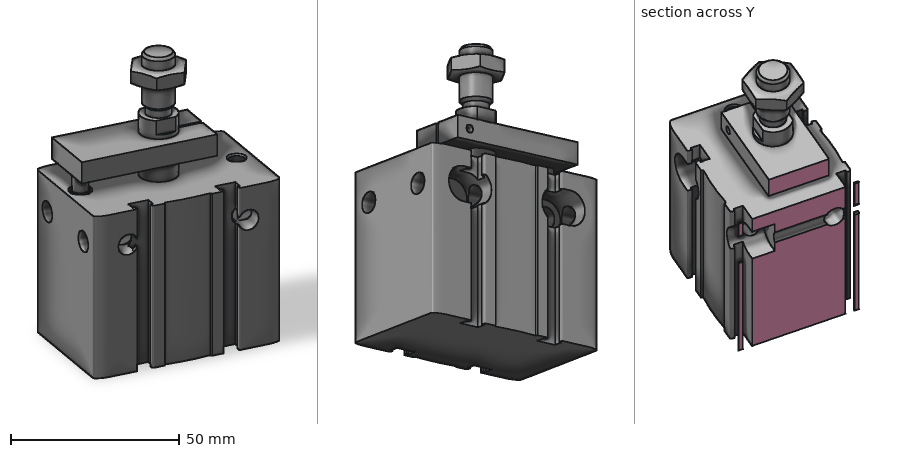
import cadquery as cq
import math

HOUSING_WIDTH = 40.0
HOUSING_LENGTH = 62.0
HOUSING_HEIGHT = 53.0
HALF_WIDTH = HOUSING_WIDTH / 2
HALF_LENGTH = HOUSING_LENGTH / 2

BEND_START_Y = 26.5
BEND_RADIUS = 10.0
BEND_END_Y = 30.2
CORNER_INSET = 1.8
CORNER_RADIUS = 1.2

SLOT_CENTRE_Y = 14.45
SLOT_MOUTH_WIDTH = 5.0
SLOT_WIDTH = 6.6
SLOT_DEPTH = 4.5
LIP_THICKNESS = 1.5
INNER_LIP_ROUND = 0.6
OUTER_LIP_ROUND = 0.35

RECESS_HALF_LENGTH = 7.9
RECESS_SLOPE = 0.4
RECESS_FLOOR_HALF_LENGTH = 7.0
RECESS_DEPTH = 0.6
RECESS_BULGE = 0.35

MOUNT_HOLE_DIAMETER = 6.6
MOUNT_HOLE_Z = HOUSING_HEIGHT - 11.0
END_HOLE_X = 12.0
SIDE_HOLE_Y = 20.0
COUNTERBORE_DIAMETER = 11.0
COUNTERBORE_INNER_Y = 15.0
COUNTERBORE_DEPTH = 12.0

PORT_Y = 26.0
PORT_DIAMETER = 4.92
PORT_CHAMFER_DIAMETER = 6.0
PORT_DEPTH = 10.0
DRILL_POINT_ANGLE = 118.0

PIN_Y = -26.0
PIN_DIAMETER = 5.0
BUSH_DIAMETER = 6.0
BUSH_SEAT_CHAMFER_DIAMETER = 7.2
BUSH_LENGTH = 10.0

PLATE_WIDTH = 20.0
PLATE_LENGTH = 45.0
PLATE_THICKNESS = 7.0
PLATE_BACK_Y = 14.5
PLATE_BOTTOM_Z = HOUSING_HEIGHT + 7.0
PLATE_TOP_Z = PLATE_BOTTOM_Z + PLATE_THICKNESS
CLAMP_SLIT_WIDTH = 1.0
CLAMP_HOLE_DIAMETER = 2.46
CLAMP_HOLE_Y = 10.0

ROD_DIAMETER = 12.0
ROD_INSERTION = 10.0
COLLAR_TOP_Z = PLATE_TOP_Z + 6.0
FLAT_WIDTH = 10.0
FLAT_HEIGHT = 4.6
NECK_DIAMETER = 8.0
NECK_LENGTH = 2.4
THREAD_DIAMETER = 10.0
THREAD_TIP_DIAMETER = 8.57
THREAD_TIP_LENGTH = 1.0
ROD_TOP_Z = 93.0

NUT_SIDES = 6
NUT_WIDTH = 16.0
NUT_THICKNESS = 5.0
NUT_TOP_Z = 88.9
NUT_FACE_DIAMETER = 14.4
NUT_CORNER_DROP = 0.6


def cylinder(diameter, bottom_z, top_z, y=0.0):
    """Upright cylinder on the plane X = 0."""
    return cq.Workplane("XY", origin=(0, y, bottom_z)).circle(diameter / 2).extrude(top_z - bottom_z)


def housing_block():
    bend_drop = BEND_RADIUS - math.sqrt(BEND_RADIUS**2 - (BEND_END_Y - BEND_START_Y) ** 2)
    bend_x = HALF_WIDTH - bend_drop
    end_x = HALF_WIDTH - CORNER_INSET
    return (
        cq.Workplane("XY")
        .moveTo(-end_x, -HALF_LENGTH)
        .lineTo(end_x, -HALF_LENGTH)
        .radiusArc((bend_x, -BEND_END_Y), -CORNER_RADIUS)
        .radiusArc((HALF_WIDTH, -BEND_START_Y), -BEND_RADIUS)
        .lineTo(HALF_WIDTH, BEND_START_Y)
        .radiusArc((bend_x, BEND_END_Y), -BEND_RADIUS)
        .radiusArc((end_x, HALF_LENGTH), -CORNER_RADIUS)
        .lineTo(-end_x, HALF_LENGTH)
        .radiusArc((-bend_x, BEND_END_Y), -CORNER_RADIUS)
        .radiusArc((-HALF_WIDTH, BEND_START_Y), -BEND_RADIUS)
        .lineTo(-HALF_WIDTH, -BEND_START_Y)
        .radiusArc((-bend_x, -BEND_END_Y), -BEND_RADIUS)
        .radiusArc((-end_x, -HALF_LENGTH), -CORNER_RADIUS)
        .close()
        .extrude(HOUSING_HEIGHT)
    )


def t_slot():
    """T-slot cutter for the -X side at +Y, with flared mouth edges that round the lips."""
    face_x = -HALF_WIDTH
    lip_x = face_x + LIP_THICKNESS
    floor_x = face_x + SLOT_DEPTH
    mouth_in = SLOT_CENTRE_Y - SLOT_MOUTH_WIDTH / 2
    mouth_out = SLOT_CENTRE_Y + SLOT_MOUTH_WIDTH / 2
    wide_in = SLOT_CENTRE_Y - SLOT_WIDTH / 2
    wide_out = SLOT_CENTRE_Y + SLOT_WIDTH / 2
    return (
        cq.Workplane("XY")
        .moveTo(face_x, mouth_in - INNER_LIP_ROUND)
        .radiusArc((face_x + INNER_LIP_ROUND, mouth_in), INNER_LIP_ROUND)
        .lineTo(lip_x, mouth_in)
        .lineTo(lip_x, wide_in)
        .lineTo(floor_x, wide_in)
        .lineTo(floor_x, wide_out)
        .lineTo(lip_x, wide_out)
        .lineTo(lip_x, mouth_out)
        .lineTo(face_x + OUTER_LIP_ROUND, mouth_out)
        .radiusArc((face_x, mouth_out + OUTER_LIP_ROUND), OUTER_LIP_ROUND)
        .close()
        .extrude(HOUSING_HEIGHT)
    )


def side_recess():
    """Cutter for the shallow recess in the middle of the -X side."""
    floor_x = -HALF_WIDTH + RECESS_DEPTH
    step_y = RECESS_HALF_LENGTH - RECESS_SLOPE
    return (
        cq.Workplane("XY")
        .moveTo(-HALF_WIDTH, -RECESS_HALF_LENGTH)
        .lineTo(floor_x, -step_y)
        .lineTo(floor_x, -RECESS_FLOOR_HALF_LENGTH)
        .threePointArc((floor_x - RECESS_BULGE, 0), (floor_x, RECESS_FLOOR_HALF_LENGTH))
        .lineTo(floor_x, step_y)
        .lineTo(-HALF_WIDTH, RECESS_HALF_LENGTH)
        .close()
        .extrude(HOUSING_HEIGHT)
    )


def end_holes():
    """Two plain holes through the housing along Y."""
    return (
        cq.Workplane("XZ", origin=(0, HALF_LENGTH, MOUNT_HOLE_Z))
        .pushPoints([(-END_HOLE_X, 0), (END_HOLE_X, 0)])
        .circle(MOUNT_HOLE_DIAMETER / 2)
        .extrude(HOUSING_LENGTH)
    )


def side_holes():
    """Two holes through the housing along X, each with an oblong counterbore in the -X side."""
    plane = cq.Workplane("YZ", origin=(-HALF_WIDTH, 0, MOUNT_HOLE_Z))
    holes = (
        plane.pushPoints([(-SIDE_HOLE_Y, 0), (SIDE_HOLE_Y, 0)])
        .circle(MOUNT_HOLE_DIAMETER / 2)
        .extrude(HOUSING_WIDTH)
    )
    counterbore_y = (SIDE_HOLE_Y + COUNTERBORE_INNER_Y) / 2
    counterbore_length = SIDE_HOLE_Y - COUNTERBORE_INNER_Y + COUNTERBORE_DIAMETER
    counterbores = (
        plane.pushPoints([(-counterbore_y, 0), (counterbore_y, 0)])
        .slot2D(counterbore_length, COUNTERBORE_DIAMETER)
        .extrude(COUNTERBORE_DEPTH)
    )
    return holes.union(counterbores)


def chamfered_hole(y, diameter, chamfer_diameter, depth, point_depth=0.0):
    """Cutter for a hole in the top face with a 45-degree chamfer and an optional conical bottom."""
    radius = diameter / 2
    mouth_radius = chamfer_diameter / 2
    return (
        cq.Workplane("XZ", origin=(0, y, HOUSING_HEIGHT))
        .lineTo(mouth_radius, 0)
        .lineTo(radius, radius - mouth_radius)
        .lineTo(radius, -depth)
        .lineTo(0, -depth - point_depth)
        .close()
        .revolve(360, (0, 0), (0, 1))
    )


def port():
    """Blind port hole that ends in a drill point."""
    point_depth = PORT_DIAMETER / 2 / math.tan(math.radians(DRILL_POINT_ANGLE / 2))
    return chamfered_hole(PORT_Y, PORT_DIAMETER, PORT_CHAMFER_DIAMETER, PORT_DEPTH, point_depth)


def make_housing():
    housing = housing_block()
    slot = t_slot()
    slots = slot.union(slot.mirror("XZ"))
    side_cuts = slots.union(side_recess())
    housing = housing.cut(side_cuts).cut(side_cuts.mirror("YZ"))
    housing = housing.cut(end_holes()).cut(side_holes()).cut(port())
    rod_bore = cylinder(ROD_DIAMETER, HOUSING_HEIGHT - ROD_INSERTION, HOUSING_HEIGHT)
    bush_seat = chamfered_hole(PIN_Y, BUSH_DIAMETER, BUSH_SEAT_CHAMFER_DIAMETER, BUSH_LENGTH)
    return housing.cut(rod_bore).cut(bush_seat)


def make_bush():
    bottom_z = HOUSING_HEIGHT - BUSH_LENGTH
    bore = cylinder(PIN_DIAMETER, bottom_z, HOUSING_HEIGHT, PIN_Y)
    return cylinder(BUSH_DIAMETER, bottom_z, HOUSING_HEIGHT, PIN_Y).cut(bore)


def make_pin():
    """Pin from the bottom of the bush up to the underside of the plate."""
    return cylinder(PIN_DIAMETER, HOUSING_HEIGHT - BUSH_LENGTH, PLATE_BOTTOM_Z, PIN_Y)


def make_plate():
    plate = cq.Workplane("XY", origin=(0, PLATE_BACK_Y - PLATE_LENGTH / 2, PLATE_BOTTOM_Z)).box(
        PLATE_WIDTH, PLATE_LENGTH, PLATE_THICKNESS, centered=(True, True, False)
    )
    rod_hole = cylinder(ROD_DIAMETER, PLATE_BOTTOM_Z, PLATE_TOP_Z)
    slit = cq.Workplane("XY", origin=(0, 0, PLATE_BOTTOM_Z)).box(
        CLAMP_SLIT_WIDTH, PLATE_BACK_Y, PLATE_THICKNESS, centered=(True, False, False)
    )
    clamp_hole_z = (PLATE_BOTTOM_Z + PLATE_TOP_Z) / 2
    clamp_hole = (
        cq.Workplane("YZ", origin=(-PLATE_WIDTH / 2, CLAMP_HOLE_Y, clamp_hole_z))
        .circle(CLAMP_HOLE_DIAMETER / 2)
        .extrude(PLATE_WIDTH / 2)
    )
    return plate.cut(rod_hole).cut(slit).cut(clamp_hole)


def make_rod():
    neck_radius = NECK_DIAMETER / 2
    thread_radius = THREAD_DIAMETER / 2
    tip_radius = THREAD_TIP_DIAMETER / 2
    neck_top_z = COLLAR_TOP_Z + NECK_LENGTH
    bottom_z = HOUSING_HEIGHT - ROD_INSERTION
    rod = (
        cq.Workplane("XZ")
        .moveTo(0, bottom_z)
        .lineTo(ROD_DIAMETER / 2, bottom_z)
        .lineTo(ROD_DIAMETER / 2, COLLAR_TOP_Z)
        .lineTo(neck_radius, COLLAR_TOP_Z)
        .lineTo(neck_radius, neck_top_z)
        .lineTo(thread_radius, neck_top_z + thread_radius - neck_radius)
        .lineTo(thread_radius, ROD_TOP_Z - THREAD_TIP_LENGTH)
        .lineTo(tip_radius, ROD_TOP_Z)
        .lineTo(0, ROD_TOP_Z)
        .close()
        .revolve(360, (0, 0), (0, 1))
    )
    flat_cut = ROD_DIAMETER - FLAT_WIDTH
    for side in (-1, 1):
        flat = cq.Workplane("XY", origin=(side * ROD_DIAMETER / 2, 0, COLLAR_TOP_Z - FLAT_HEIGHT)).box(
            flat_cut, ROD_DIAMETER, FLAT_HEIGHT, centered=(True, True, False)
        )
        rod = rod.cut(flat)
    return rod


def make_nut():
    corner_diameter = NUT_WIDTH / math.cos(math.pi / NUT_SIDES)
    bottom_z = NUT_TOP_Z - NUT_THICKNESS
    hexagon = (
        cq.Workplane("XY", origin=(0, 0, bottom_z))
        .transformed(rotate=(0, 0, 180 / NUT_SIDES))
        .polygon(NUT_SIDES, corner_diameter)
        .extrude(NUT_THICKNESS)
    )
    corner_radius = corner_diameter / 2
    face_radius = NUT_FACE_DIAMETER / 2
    envelope = (
        cq.Workplane("XZ")
        .moveTo(0, bottom_z)
        .lineTo(face_radius, bottom_z)
        .lineTo(corner_radius, bottom_z + NUT_CORNER_DROP)
        .lineTo(corner_radius, NUT_TOP_Z - NUT_CORNER_DROP)
        .lineTo(face_radius, NUT_TOP_Z)
        .lineTo(0, NUT_TOP_Z)
        .close()
        .revolve(360, (0, 0), (0, 1))
    )
    thread_hole = cylinder(THREAD_DIAMETER, bottom_z, NUT_TOP_Z)
    return hexagon.intersect(envelope).cut(thread_hole)


housing = make_housing()
bush = make_bush()
pin = make_pin()
plate = make_plate()
rod = make_rod()
nut = make_nut()

result = cq.Compound.makeCompound(
    [housing.val(), bush.val(), pin.val(), plate.val(), rod.val(), nut.val()]
)